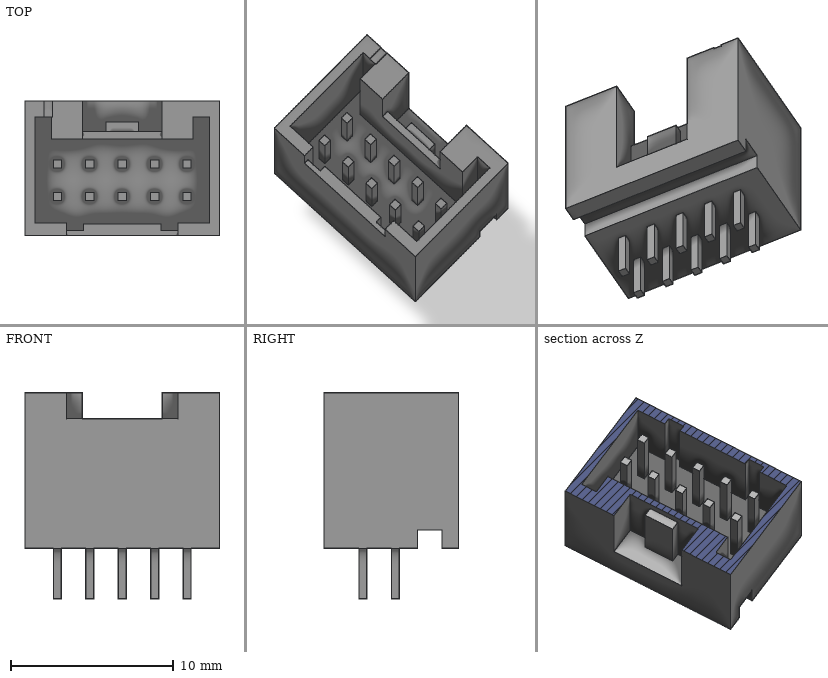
import cadquery as cq

LENGTH = 12.0
WIDTH = 8.3
HEIGHT = 9.6
SIDE_WALL = 0.62
FRONT_WALL = 0.77
REAR_WALL = 1.0
FLOOR_TOP = 2.0

POST_OUTER_X = 4.35
POST_INNER_X = 2.45
POST_FRONT_Y = 1.8

RIB_TOP = 5.9
RIB_THICKNESS = 0.45
LATCH_LENGTH = 2.0
LATCH_DEPTH = 0.6
LATCH_DROP = 0.5

WINDOW_LENGTH = 6.85
WINDOW_DEPTH = 1.6
WINDOW_WALL = 0.72
GROOVE_INNER_X = 2.38
GROOVE_WALL = 0.31

MARK_LEFT_X = -4.82
MARK_RIGHT_X = -4.31
MARK_DEPTH = 0.1

CHANNEL_FRONT_Y = 1.62
CHANNEL_WIDTH = 1.5
CHANNEL_HEIGHT = 1.13

PIN_SIZE = 0.5
PIN_PITCH = 2.0
PINS_PER_ROW = 5
FRONT_ROW_Y = -1.75
ROW_COUNT = 2
PIN_BOTTOM = -3.1
PIN_TOP = 5.8

HALF_LENGTH = LENGTH / 2
FRONT_Y = -WIDTH / 2
REAR_Y = WIDTH / 2
CAVITY_HALF_LENGTH = HALF_LENGTH - SIDE_WALL
CAVITY_FRONT_Y = FRONT_Y + FRONT_WALL
CAVITY_REAR_Y = REAR_Y - REAR_WALL
RIB_REAR_Y = POST_FRONT_Y + RIB_THICKNESS


def block(x_range, y_range, z_range):
    """Axis-aligned box between the given limits."""
    size = [high - low for low, high in (x_range, y_range, z_range)]
    corner = (x_range[0], y_range[0], z_range[0])
    return cq.Workplane("XY").box(*size, centered=False).translate(corner)


def centred(length):
    """Limits of a length centred on zero."""
    return (-length / 2, length / 2)


def shell():
    """Outer box with its cavity, before the posts and openings."""
    outer = block(centred(LENGTH), (FRONT_Y, REAR_Y), (0, HEIGHT))
    cavity = block(
        (-CAVITY_HALF_LENGTH, CAVITY_HALF_LENGTH),
        (CAVITY_FRONT_Y, CAVITY_REAR_Y),
        (FLOOR_TOP, HEIGHT),
    )
    return outer.cut(cavity)


def add_posts_and_rear_window(body):
    """Solid bank behind the cavity, split into two posts and a rib by the latch window."""
    bank = block(centred(2 * POST_OUTER_X), (POST_FRONT_Y, REAR_Y), (0, HEIGHT))
    window_x = centred(2 * POST_INNER_X)
    above_rib = block(window_x, (POST_FRONT_Y, REAR_Y), (RIB_TOP, HEIGHT))
    behind_rib = block(window_x, (RIB_REAR_Y, REAR_Y), (FLOOR_TOP, HEIGHT))
    latch = block(
        centred(LATCH_LENGTH),
        (RIB_REAR_Y, RIB_REAR_Y + LATCH_DEPTH),
        (FLOOR_TOP, RIB_TOP - LATCH_DROP),
    )
    return body.union(bank).cut(above_rib).cut(behind_rib).union(latch)


def cut_front_window(body):
    """Window from the top edge, a slightly thinner wall below it, and the end grooves."""
    half_window = WINDOW_LENGTH / 2
    window = block(centred(WINDOW_LENGTH), (FRONT_Y, CAVITY_FRONT_Y), (HEIGHT - WINDOW_DEPTH, HEIGHT))
    thinning = block(centred(WINDOW_LENGTH), (FRONT_Y + WINDOW_WALL, CAVITY_FRONT_Y), (FLOOR_TOP, HEIGHT))
    body = body.cut(window).cut(thinning)
    for groove_x in ((-half_window, -GROOVE_INNER_X), (GROOVE_INNER_X, half_window)):
        body = body.cut(block(groove_x, (FRONT_Y + GROOVE_WALL, CAVITY_FRONT_Y), (FLOOR_TOP, HEIGHT)))
    return body


def cut_mark(body):
    """Shallow groove over the rear wall."""
    return body.cut(
        block((MARK_LEFT_X, MARK_RIGHT_X), (CAVITY_REAR_Y, REAR_Y), (HEIGHT - MARK_DEPTH, HEIGHT))
    )


def cut_channel(body):
    """Channel through the underside along X."""
    channel_y = (CHANNEL_FRONT_Y, CHANNEL_FRONT_Y + CHANNEL_WIDTH)
    return body.cut(block(centred(LENGTH), channel_y, (0, CHANNEL_HEIGHT)))


def add_pins(body):
    """Contact pins passing through the floor."""
    pin = block(centred(PIN_SIZE), centred(PIN_SIZE), (PIN_BOTTOM, PIN_TOP))
    first_x = -PIN_PITCH * (PINS_PER_ROW - 1) / 2
    for row in range(ROW_COUNT):
        for column in range(PINS_PER_ROW):
            place = (first_x + column * PIN_PITCH, FRONT_ROW_Y + row * PIN_PITCH, 0)
            body = body.union(pin.translate(place))
    return body


housing = add_posts_and_rear_window(shell())
housing = cut_front_window(housing)
housing = cut_mark(housing)
housing = cut_channel(housing)
result = add_pins(housing)